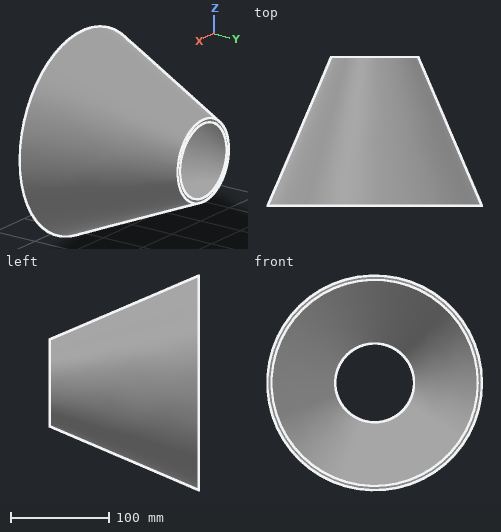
import cadquery as cq

large_diameter = 219.0
small_diameter = 89.0
length = 152.0
radial_wall = 4.4

large_radius = large_diameter / 2
small_radius = small_diameter / 2

wall_section = (
    cq.Workplane("XY")
    .moveTo(large_radius - radial_wall, 0)
    .lineTo(large_radius, 0)
    .lineTo(small_radius, length)
    .lineTo(small_radius - radial_wall, length)
    .close()
)

result = wall_section.revolve(360, (0, 0, 0), (0, 1, 0))